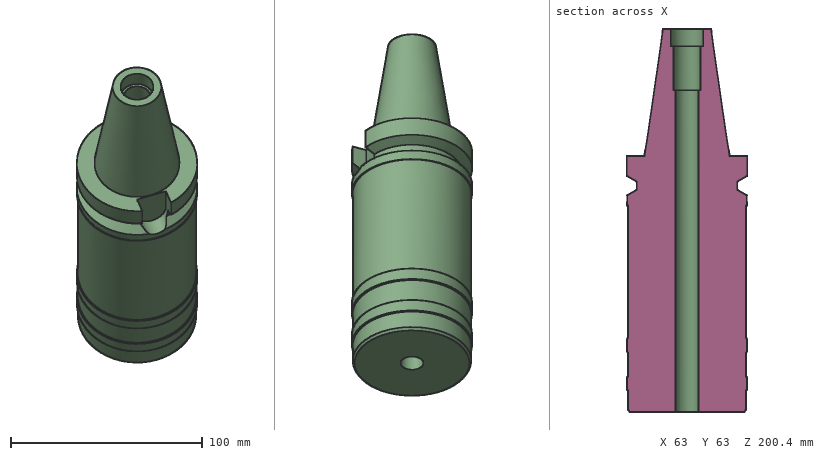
import cadquery as cq
import math


gauge_radius = 44.45 / 2
taper_length = 65.4
taper_ratio = 7 / 24
shank_end_radius = gauge_radius - taper_length * taper_ratio / 2

flange_radius = 63.0 / 2
flange_top = -1.0
flange_bottom = -27.0
groove_center = -16.6
groove_mouth_width = 10.0
groove_radius = 53.0 / 2
groove_side_angle = 30.0
groove_side_height = (flange_radius - groove_radius) * math.tan(math.radians(groove_side_angle))
groove_mouth_top = groove_center + groove_mouth_width / 2
groove_mouth_bottom = groove_center - groove_mouth_width / 2

body_radius = 62.0 / 2
body_bottom = -135.0
nose_chamfer_radial = 1.0
nose_chamfer_height = 1.5

ring_radius = 63.0 / 2
ring_chamfer = ring_radius - body_radius
ring_width = 7.5
ring_pitch = 20.0
ring_count = 2
lowest_ring_height = 11.25
lowest_ring_bottom = body_bottom + lowest_ring_height

slot_width = 16.0
slot_floor_distance = 22.5
slot_bottom = -23.0

counterbore_diameter = 17.0
counterbore_depth = 9.0
thread_diameter = 14.0
thread_depth = 32.0
through_diameter = 12.0


def make_body():
    """Revolve the shank, flange and body outline into a solid of revolution."""
    outline = [
        (0, taper_length),
        (shank_end_radius, taper_length),
        (gauge_radius, 0),
        (gauge_radius, flange_top),
        (flange_radius, flange_top),
        (flange_radius, groove_mouth_top),
        (groove_radius, groove_mouth_top - groove_side_height),
        (groove_radius, groove_mouth_bottom + groove_side_height),
        (flange_radius, groove_mouth_bottom),
        (flange_radius, flange_bottom),
        (body_radius, flange_bottom),
        (body_radius, body_bottom + nose_chamfer_height),
        (body_radius - nose_chamfer_radial, body_bottom),
        (0, body_bottom),
    ]
    return cq.Workplane("XZ").polyline(outline).close().revolve(360, (0, 0), (0, 1))


def make_ring(bottom):
    """One raised ring with chamfered edges, starting at the given height."""
    disc = cq.Workplane("XY").workplane(offset=bottom).circle(ring_radius).extrude(ring_width)
    return disc.edges().chamfer(ring_chamfer)


def make_slot(side):
    """Cutter for a round-bottomed drive slot on the +X (side = 1) or -X (side = -1) side."""
    half_width = slot_width / 2
    arc_center = slot_bottom + half_width
    return (
        cq.Workplane("YZ")
        .workplane(offset=side * slot_floor_distance)
        .moveTo(-half_width, flange_top)
        .lineTo(-half_width, arc_center)
        .threePointArc((0, slot_bottom), (half_width, arc_center))
        .lineTo(half_width, flange_top)
        .close()
        .extrude(side * flange_radius)
    )


def make_bore_step(diameter, depth):
    """Cutter for a round hole going down from the shank end."""
    return cq.Workplane("XY").workplane(offset=taper_length).circle(diameter / 2).extrude(-depth)


result = make_body()

for index in range(ring_count):
    result = result.union(make_ring(lowest_ring_bottom + index * ring_pitch))

for side in (-1, 1):
    result = result.cut(make_slot(side))

result = result.cut(make_bore_step(counterbore_diameter, counterbore_depth))
result = result.cut(make_bore_step(thread_diameter, thread_depth))
result = result.cut(make_bore_step(through_diameter, taper_length - body_bottom))